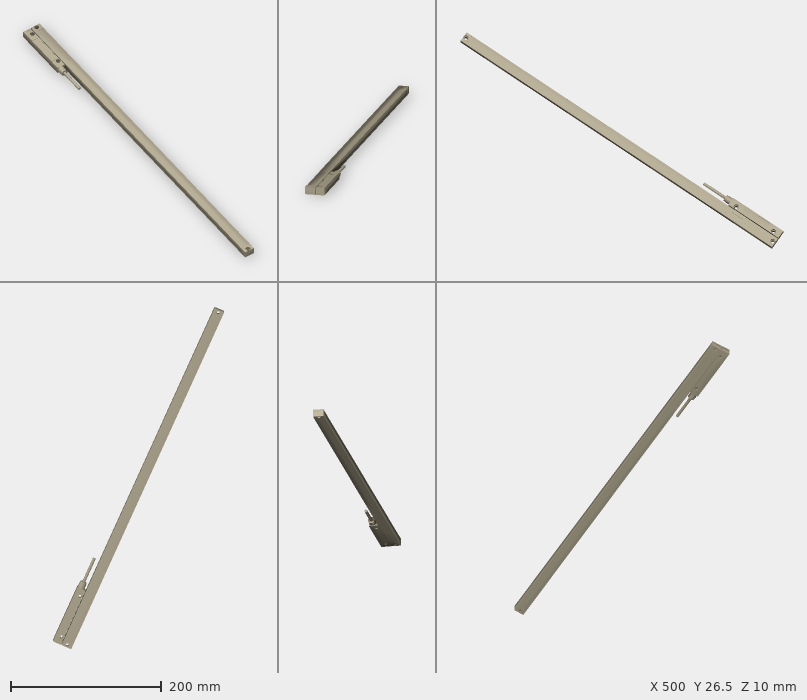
import cadquery as cq

length = 500.0
height = 10.0
scale_width = 14.0
head_width = 11.5
air_gap = 1.0
scale_front = head_width + air_gap
scale_back = scale_front + scale_width

screw_hole_diameter = 4.0
counterbore_diameter = 6.5
counterbore_floor = 6.5
screw_edge_distance = 3.5

cap_length = 8.5
rail_lip_height = 1.0
rail_face_recess = 0.5
rail_top_step = 0.25
scale_label_start = 10.0
scale_label_end = 77.5
scale_label_front = 17.0
label_depth = 0.25

head_length = 80.5
head_screw_spacing = 60.0
head_middle_length = 53.0
head_step = 0.25
head_label_length = 39.0
head_label_margin = 1.0

cable_y = 5.0
cable_z = height / 2
sleeve_diameter = 9.5
sleeve_end = 86.5
collar_end = 89.5
collar_diameter = 9.0
cable_diameter = 4.0
cable_end = 124.5


def box(x_start, x_end, y_start, y_end, z_start, z_end):
    """Rectangular block between two opposite corners."""
    size = (x_end - x_start, y_end - y_start, z_end - z_start)
    return cq.Workplane("XY").box(*size, centered=False).translate((x_start, y_start, z_start))


def screw_cutter(x, y):
    """Through hole with a counterbore open at the top."""
    hole = cq.Workplane("XY").center(x, y).circle(screw_hole_diameter / 2).extrude(height)
    bore = (
        cq.Workplane("XY", origin=(x, y, counterbore_floor))
        .circle(counterbore_diameter / 2)
        .extrude(height - counterbore_floor)
    )
    return hole.union(bore)


def rod(diameter, x_start, x_end):
    """Round bar along the cable axis."""
    start = (x_start, cable_y, cable_z)
    return cq.Workplane("YZ", origin=start).circle(diameter / 2).extrude(x_end - x_start)


def make_scale():
    body = box(0, length, scale_front, scale_back, 0, height)

    rail_top = height - rail_top_step
    body = body.cut(
        box(cap_length, length - cap_length, scale_front, scale_back, rail_top, height)
    )

    body = body.cut(
        box(
            cap_length,
            length - cap_length,
            scale_front,
            scale_front + rail_face_recess,
            rail_lip_height,
            height - rail_lip_height,
        )
    )

    body = body.cut(
        box(
            scale_label_start,
            scale_label_end,
            scale_label_front,
            scale_back,
            rail_top - label_depth,
            rail_top,
        )
    )

    screw_y = scale_front + scale_width / 2
    for x in (screw_edge_distance, length - screw_edge_distance):
        body = body.cut(screw_cutter(x, screw_y))
    return body


def make_head():
    middle = head_length / 2
    lug_top = height - head_step
    body = box(0, head_length, 0, head_width, 0, lug_top)

    body = body.union(
        box(
            middle - head_middle_length / 2,
            middle + head_middle_length / 2,
            0,
            head_width,
            lug_top,
            height,
        )
    )
    body = body.cut(
        box(
            middle - head_label_length / 2,
            middle + head_label_length / 2,
            head_label_margin,
            head_width - head_label_margin,
            height - label_depth,
            height,
        )
    )

    screw_y = head_width - screw_edge_distance
    for side in (-1, 1):
        x = middle + side * head_screw_spacing / 2
        body = body.cut(screw_cutter(x, screw_y))

    body = body.union(rod(sleeve_diameter, head_length, sleeve_end))
    body = body.union(rod(collar_diameter, sleeve_end, collar_end))
    body = body.union(rod(cable_diameter, collar_end, cable_end))
    return body


scale = make_scale()
head = make_head()
result = cq.Compound.makeCompound([scale.val(), head.val()])